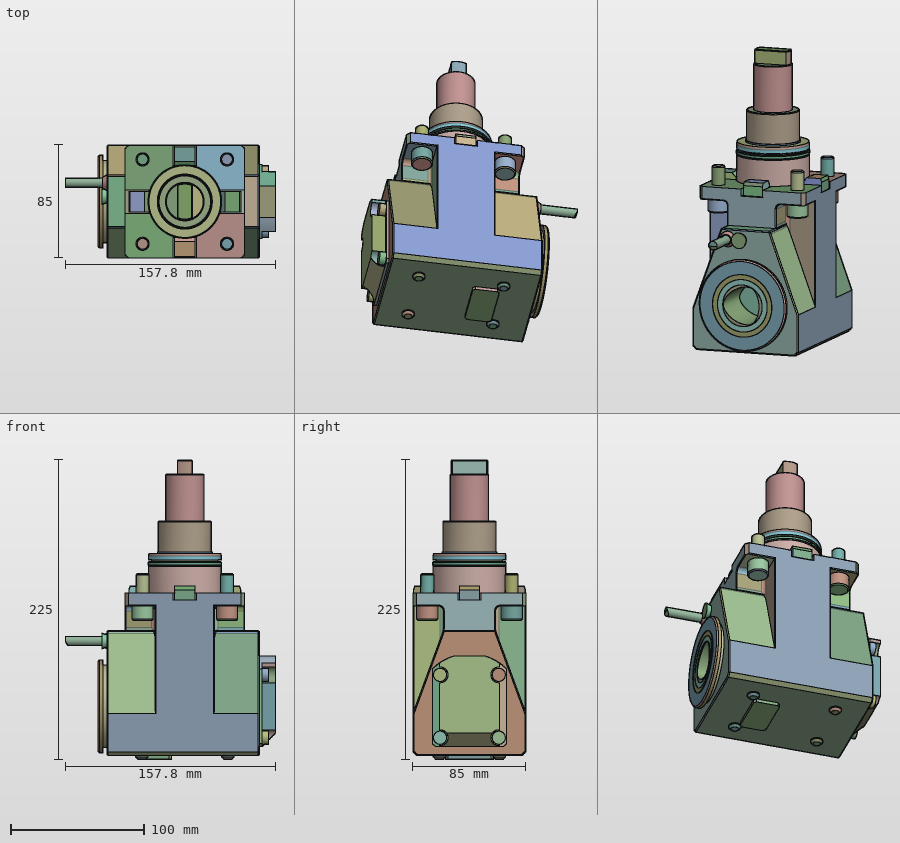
import cadquery as cq
import math

overall_height = 225.0
overall_depth = 85.0
half_depth = overall_depth / 2

housing_left = -58.5
housing_right = 56.0
housing_bottom = 2.7
housing_top = 96.7
housing_end_chamfer = 1.0
ledge_chamfer = 1.0
pocket_rim_chamfer = 0.7
bottom_edge_chamfer = 3.0
column_half_width = 22.3
slope_bottom_z = 34.5
slope_top_z = 96.7
neck_half_depth = 19.5
neck_corner_radius = 2.7
neck_corner_bottom = 87.7
neck_fillet = 3.8
slope_blend_radius = 12.4

flange_width = 90.0
flange_bottom = 115.1
flange_top = 125.0
flange_corner_chamfer = 2.7

pilot_dia = 54.9
pilot_groove_dia = 50.0
o_ring_dia = 55.3
o_ring_bottom = 145.3
o_ring_top = 148.5
pilot_groove_bottom = 144.8
pilot_groove_top = 149.8
pilot_top = 154.7
pilot_rim_height = 2.0
pilot_rim_run = 0.5
collar_dia = 40.0
collar_root_dia = 41.4
collar_root_height = 1.1
collar_top = 179.0
shaft_dia = 29.0
shaft_top = 214.3
tang_thickness = 11.2
step_chamfer = 0.7

bolt_offset = 31.7
bolt_dia = 10.0
bolt_top = 139.5
bolt_head_dia = 16.0
bolt_head_bottom = 104.4
bolt_chamfer = 1.0

key_width = 15.3
key_inner = 27.0
key_outer = 42.0
key_top = 130.0
key_outer_chamfer_height = 2.7
key_outer_chamfer_run = 1.0
key_inner_chamfer = 3.1
keyway_width = 17.5
keyway_floor = 119.6

spindle_z = 39.8
nose_neck_dia = 62.0
nose_dia = 70.0
nose_left = -65.2
nose_rim_right = -61.6
nose_chamfer = 1.1
nose_recesses = [(47.7, 0.5), (40.0, 0.7), (31.7, 1.0)]
socket_mean_radius = 14.5
socket_lobe_height = 1.1
socket_depth = 33.7
socket_taper_loss = 0.7

cable_left = -89.7
cable_dia = 7.0
cable_y = 14.2
cable_z = 88.8
cable_bevel_run = 1.8
cable_bevel_height = 3.1
gland_left = -61.8
gland_tip_dia = 8.0
gland_dia = 12.0
plug_dia = 12.0
plug_root_dia = 9.5
plug_left = -62.3
plug_y = 3.8

cover_right = 68.1
cover_plate_right = 58.0
cover_plate_half_width = 28.0
cover_half_width = 22.5
cover_round_radius = 39.5
cover_top = 77.5
cover_bottom = 9.5
cover_screw_dia = 10.0
cover_screw_right = 63.0
cover_screw_y = 22.0
cover_screw_rise = 23.6
cover_pocket_dia = 12.0

foot_screw_dia = 9.5
foot_screw_chamfer = 1.8
foot_screw_x = 32.4
foot_screw_y = 22.5
foot_plate_left = -30.1
foot_plate_right = -10.0
foot_plate_half_depth = 18.0
foot_plate_corner = 1.8

CORNERS = [(1, 1), (1, -1), (-1, 1), (-1, -1)]


def box(x0, x1, y0, y1, z0, z1):
    """Block between opposite corners."""
    return cq.Workplane("XY").box(x1 - x0, y1 - y0, z1 - z0, centered=False).translate((x0, y0, z0))


def disc_z(dia, z0, z1, x=0.0, y=0.0):
    """Upright cylinder."""
    return cq.Workplane("XY").center(x, y).circle(dia / 2).extrude(z1 - z0).translate((0, 0, z0))


def disc_x(dia, x0, x1, y=0.0, z=spindle_z):
    """Cylinder lying along X."""
    return cq.Workplane("YZ").center(y, z).circle(dia / 2).extrude(x1 - x0).translate((x0, 0, 0))


def cone_x(left_dia, right_dia, x0, x1, y, z):
    """Truncated cone lying along X."""
    left = cq.Workplane("YZ", origin=(x0, y, z)).circle(left_dia / 2)
    return left.workplane(offset=x1 - x0).circle(right_dia / 2).loft()


def make_side_pocket(x0, x1):
    """Space beside the column on the +Y side: upright neck wall above, sloping wall below."""
    outside = half_depth + 2.2
    slope_run = (half_depth - neck_half_depth) / (slope_top_z - slope_bottom_z)
    outside_z = slope_bottom_z - slope_run ** -1 * (outside - half_depth)
    pocket = (
        cq.Workplane("YZ")
        .polyline([
            (outside, flange_bottom),
            (neck_half_depth, flange_bottom),
            (neck_half_depth, slope_top_z),
            (outside, outside_z),
        ])
        .close()
        .extrude(x1 - x0)
        .translate((x0, 0, 0))
    )
    wall_corner = cq.selectors.NearestToPointSelector
    middle = (x0 + x1) / 2
    pocket = pocket.edges(wall_corner((middle, neck_half_depth, flange_bottom))).fillet(neck_fillet)
    return pocket.edges(wall_corner((middle, neck_half_depth, slope_top_z))).fillet(slope_blend_radius)


def make_neck_corner():
    """Concave fillet post standing between the neck wall and the column on the +X, +Y side."""
    x1 = column_half_width + neck_corner_radius
    y1 = neck_half_depth + neck_corner_radius
    post = box(column_half_width, x1, neck_half_depth, y1, neck_corner_bottom, flange_bottom)
    return post.cut(disc_z(2 * neck_corner_radius, neck_corner_bottom, flange_bottom, x1, y1))


def make_housing():
    """Gear housing with its ledges, central column, side slopes, neck and mounting flange."""
    lower = box(housing_left, housing_right, -half_depth, half_depth, housing_bottom, housing_top)
    lower = lower.edges("|X and <Z").chamfer(bottom_edge_chamfer)
    upper = box(-flange_width / 2, flange_width / 2, -half_depth, half_depth, housing_top, flange_top)
    for x0, x1 in [(housing_left - 2.2, -column_half_width), (column_half_width, housing_right + 2.2)]:
        pocket = make_side_pocket(x0, x1)
        for side_pocket in [pocket, pocket.mirror("XZ")]:
            lower = lower.cut(side_pocket)
            upper = upper.cut(side_pocket)
    column_edges = cq.selectors.BoxSelector(
        (-column_half_width - 2.2, -half_depth - 2.2, 0), (column_half_width + 2.2, half_depth + 2.2, overall_height)
    )
    lower = lower.faces("<X or >X").edges().chamfer(housing_end_chamfer)
    ledge_edges = cq.selectors.BoxSelector(
        (-flange_width, -half_depth / 2, housing_top - 2.2), (flange_width, half_depth / 2, housing_top + 2.2)
    )
    lower = lower.faces(">Z").edges("|X").edges(ledge_edges).chamfer(ledge_chamfer)
    lower = lower.faces("<Y or >Y").edges("|Z").edges(column_edges).chamfer(pocket_rim_chamfer)

    rim_zone = cq.selectors.BoxSelector(
        (-flange_width, -half_depth - 2.2, housing_top + 2.2), (flange_width, half_depth + 2.2, flange_bottom + 2.2)
    )
    upper = upper.faces("<X or >X or <Y or >Y").edges(rim_zone).chamfer(pocket_rim_chamfer)
    housing = lower.union(upper)
    corner = make_neck_corner()
    for corner_pair in [corner, corner.mirror("XZ")]:
        housing = housing.union(corner_pair).union(corner_pair.mirror("YZ"))
    return cut_flange_outline(housing)


def cut_flange_outline(housing):
    """Bevel the flange corners and open a keyway to each side."""
    flange_blank = box(-flange_width / 2, flange_width / 2, -half_depth, half_depth, flange_bottom, flange_top)
    housing = housing.cut(flange_blank.cut(flange_blank.edges("|Z").chamfer(flange_corner_chamfer)))
    keyway = box(key_inner, flange_width, -keyway_width / 2, keyway_width / 2, keyway_floor, flange_top)
    for quarter in range(4):
        housing = housing.cut(keyway.rotate((0, 0, 0), (0, 0, 1), 90 * quarter))
    return housing


def make_keys():
    """Four bevelled locating keys around the pilot."""
    key = (
        cq.Workplane("XZ")
        .polyline([
            (key_inner, keyway_floor),
            (key_outer, keyway_floor),
            (key_outer, key_top - key_outer_chamfer_height),
            (key_outer - key_outer_chamfer_run, key_top),
            (key_inner + key_inner_chamfer, key_top),
            (key_inner, key_top - key_inner_chamfer),
        ])
        .close()
        .extrude(key_width / 2, both=True)
    )
    keys = key
    for quarter in range(1, 4):
        keys = keys.union(key.rotate((0, 0, 0), (0, 0, 1), 90 * quarter))
    return keys


def make_shaft():
    """Pilot with O-ring, collar, shaft and flat driving tang."""
    pilot = disc_z(pilot_dia, flange_bottom, pilot_groove_bottom)
    pilot = pilot.union(disc_z(pilot_groove_dia, pilot_groove_bottom, pilot_groove_top))
    pilot = pilot.union(disc_z(o_ring_dia, o_ring_bottom, o_ring_top).edges().chamfer(step_chamfer))
    pilot = pilot.union(disc_z(pilot_dia, pilot_groove_top, pilot_top)
                        .faces(">Z").chamfer(pilot_rim_height, pilot_rim_run))
    collar = disc_z(collar_dia, pilot_top, collar_top).faces(">Z").chamfer(step_chamfer)
    collar_root = disc_z(collar_root_dia, pilot_top, pilot_top + collar_root_height)
    collar = collar.union(collar_root)
    shaft = disc_z(shaft_dia, collar_top, shaft_top).faces(">Z").chamfer(step_chamfer)
    half_tang = tang_thickness / 2
    tang = disc_z(shaft_dia - 2 * step_chamfer, shaft_top, overall_height).intersect(
        box(-half_tang, half_tang, -shaft_dia, shaft_dia, shaft_top, overall_height)
    )
    tang = tang.faces(">Z").chamfer(step_chamfer)
    return pilot.union(collar).union(shaft).union(tang)


def make_bolts():
    """Four flange bolts with heads below the flange."""
    head = disc_z(bolt_head_dia, bolt_head_bottom, flange_bottom).faces("<Z").chamfer(bolt_chamfer)
    shank = disc_z(bolt_dia, flange_bottom, bolt_top).faces(">Z").chamfer(bolt_chamfer)
    bolt = head.union(shank)
    bolts = cq.Workplane("XY")
    for x_sign, y_sign in CORNERS:
        bolts = bolts.union(bolt.translate((x_sign * bolt_offset, y_sign * bolt_offset, 0)))
    return bolts


def make_nose():
    """Spindle nose disc with stepped recesses in its face."""
    rim = disc_x(nose_dia, nose_left, nose_rim_right).faces("<X").chamfer(nose_chamfer)
    nose = rim.union(disc_x(nose_neck_dia, nose_rim_right, housing_left + housing_end_chamfer))
    for dia, depth in nose_recesses:
        nose = nose.cut(disc_x(dia, nose_left, nose_left + depth))
    return nose


def socket_point(angle, mean_radius):
    """Point (y, z) of the three-lobed socket outline about its centre, one lobe towards +Y."""
    support = mean_radius + socket_lobe_height * math.cos(3 * angle)
    slope = -3 * socket_lobe_height * math.sin(3 * angle)
    return (
        support * math.cos(angle) - slope * math.sin(angle),
        support * math.sin(angle) + slope * math.cos(angle),
    )


def make_socket():
    """Tapered three-lobed tool socket bored from the nose face."""
    floor_radius = socket_mean_radius - socket_taper_loss
    return (
        cq.Workplane("YZ", origin=(nose_left, 0, spindle_z))
        .parametricCurve(lambda t: socket_point(2 * math.pi * t, socket_mean_radius))
        .workplane(offset=socket_depth)
        .parametricCurve(lambda t: socket_point(2 * math.pi * t, floor_radius))
        .loft()
    )


def make_cable():
    """Cable leaving the left wall through a tapered gland."""
    cable = disc_x(cable_dia, cable_left, housing_left + 2.2, cable_y, cable_z)
    cable_radius = cable_dia / 2
    bevel = (
        cq.Workplane("XZ")
        .polyline([
            (cable_left, cable_z - cable_radius),
            (cable_left + cable_bevel_run, cable_z - cable_radius),
            (cable_left, cable_z - cable_radius + cable_bevel_height),
        ])
        .close()
        .extrude(half_depth, both=True)
    )
    gland = cone_x(gland_tip_dia, gland_dia, gland_left, housing_left, cable_y, cable_z)
    return cable.cut(bevel).union(gland)


def make_plug():
    """Plug beside the cable, widest at its outer face."""
    return cone_x(plug_dia, plug_root_dia, plug_left, housing_left, plug_y, cable_z)


def make_cover():
    """End cover: base plate, raised body with a sloping underside, and four screws in corner pockets."""
    outline = disc_x(2 * cover_round_radius, housing_right, cover_right).intersect(
        box(housing_right, cover_right, -half_depth, half_depth, cover_bottom, cover_top)
    )
    plate = outline.intersect(
        box(housing_right, cover_plate_right, -cover_plate_half_width, cover_plate_half_width, 0, overall_height)
    )
    body = outline.intersect(
        box(cover_plate_right, cover_right, -cover_half_width, cover_half_width, 0, overall_height)
    )
    slope_length = cover_right - cover_plate_right
    underside = (
        cq.Workplane("XZ")
        .polyline([
            (cover_plate_right, cover_bottom),
            (cover_right, cover_bottom),
            (cover_right, cover_bottom + slope_length),
        ])
        .close()
        .extrude(half_depth, both=True)
    )
    cover = plate.union(body.cut(underside))
    screws = cq.Workplane("XY")
    for y_sign, z_sign in CORNERS:
        y = y_sign * cover_screw_y
        z = spindle_z + z_sign * cover_screw_rise
        cover = cover.cut(disc_x(cover_pocket_dia, cover_plate_right, cover_right, y, z))
        screws = screws.union(disc_x(cover_screw_dia, housing_right, cover_screw_right, y, z))
    return cover.union(screws)


def make_feet():
    """Four screw heads and a plate under the housing."""
    screw = disc_z(foot_screw_dia, 0, housing_bottom).faces("<Z").chamfer(foot_screw_chamfer)
    feet = box(
        foot_plate_left, foot_plate_right, -foot_plate_half_depth, foot_plate_half_depth, 0, housing_bottom
    )
    feet = feet.edges("|Z").chamfer(foot_plate_corner)
    for x_sign, y_sign in CORNERS:
        feet = feet.union(screw.translate((x_sign * foot_screw_x, y_sign * foot_screw_y, 0)))
    return feet


result = make_housing()
for part in [make_keys(), make_shaft(), make_bolts(), make_nose(), make_cable(),
             make_plug(), make_cover(), make_feet()]:
    result = result.union(part)
result = result.cut(make_socket())